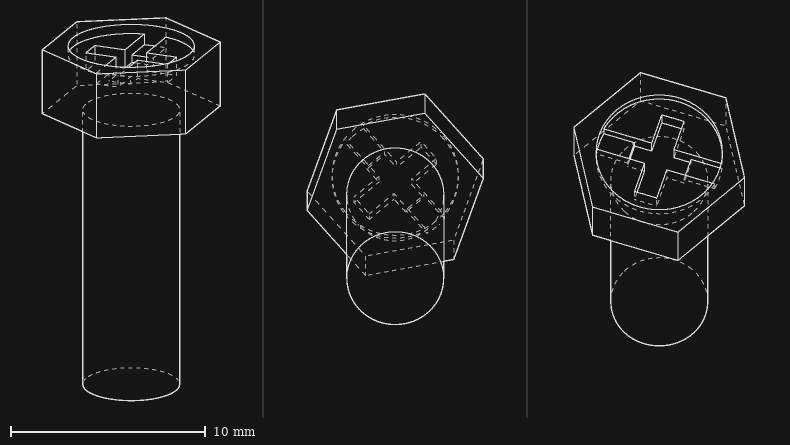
import cadquery as cq
import math

total_length = 18.5
head_height = 3.5
across_flats = 8.0
shank_diameter = 5.0

dish_diameter = 6.5
dish_depth = 0.5
slot_width = 1.2
cross_length_x = 4.55
cross_length_y = 3.05
cross_depth = 1.0
long_slot_depth = 0.6

shank_length = total_length - head_height
across_corners = across_flats / math.cos(math.pi / 6)
dish_floor = total_length - dish_depth


def make_body():
    """Hexagonal head, with corners on the Y axis, on a round shank."""
    shank = cq.Workplane("XY").circle(shank_diameter / 2).extrude(shank_length)
    head = (
        cq.Workplane("XY")
        .polygon(6, across_corners)
        .extrude(head_height)
        .rotate((0, 0, 0), (0, 0, 1), 90)
        .translate((0, 0, shank_length))
    )
    return shank.union(head)


def make_round_cutter(bottom):
    """Cylinder of the dish diameter from the given height up to the top face."""
    height = total_length - bottom
    return cq.Workplane("XY").workplane(offset=bottom).circle(dish_diameter / 2).extrude(height)


def make_slot(length_x, length_y, depth):
    """Rectangular cutter reaching down from the dish floor."""
    return cq.Workplane("XY").workplane(offset=dish_floor).rect(length_x, length_y).extrude(-depth)


dish = make_round_cutter(dish_floor)
dish_column = make_round_cutter(dish_floor - long_slot_depth)
long_slot = make_slot(slot_width, dish_diameter, long_slot_depth).intersect(dish_column)

result = (
    make_body()
    .cut(dish)
    .cut(long_slot)
    .cut(make_slot(cross_length_x, slot_width, cross_depth))
    .cut(make_slot(slot_width, cross_length_y, cross_depth))
)